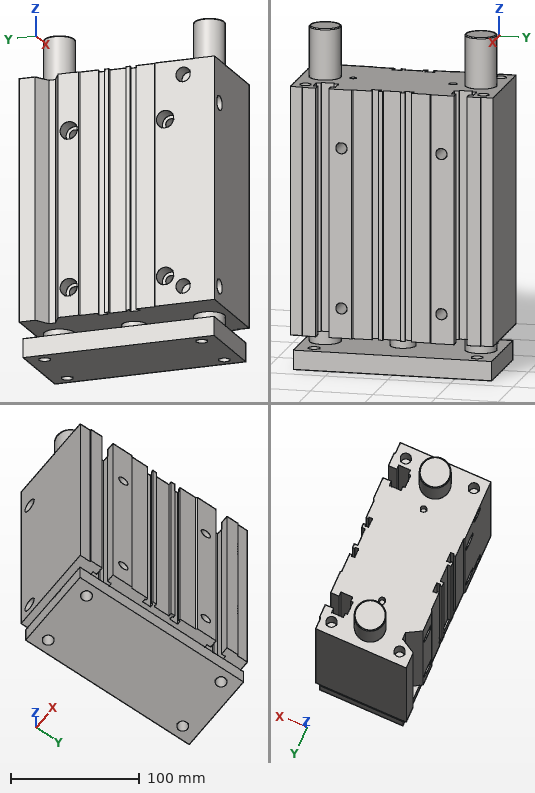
import cadquery as cq

total_height = 268.0
housing_bottom = 28.1
housing_height = 198.9
housing_top = housing_bottom + housing_height
housing_length = 162.0
housing_half_length = housing_length / 2
housing_width = 78.0
housing_half_width = housing_width / 2
relief_half_width = 38.0
relief_half_length = 30.8
corner_relief_y = 71.3

flat_groove_half_width = 35.0
flat_groove_width = 14.2
rail_slot_y = 13.0
rail_slot_throat = 5.0
rail_slot_width = 7.5
rail_slot_lip_x = 36.2
rail_slot_floor_x = 33.2

v_groove_y = 58.2
v_groove_floor_x = 27.0
v_groove_mouth = 19.0
v_groove_floor = 5.4

t_slot_y = 55.2
t_slot_throat = 10.5
t_slot_width = 17.7
t_slot_lip_x = 32.0
t_slot_floor_x = 22.0
t_slot_relief_x = 20.0

mount_y = 40.0
mount_levels = (52.0, 180.0)
mount_diameter = 8.8
mount_bore_diameter = 14.2
mount_bore_depth = 13.5

port_diameter = 11.8
port_depth = 13.5
side_port_y = -55.0
side_port_levels = (42.0, 215.0)
end_port_x = -28.0
end_port_levels = (42.0, 192.0)

corner_hole_x = 29.0
corner_hole_y = 71.0
corner_hole_diameter = 8.5
corner_hole_depth = 21.5

pin_y = 40.0
pin_diameter = 5.0
pin_slot_length = 6.2
pin_depth = 10.7

plate_width = 70.8
plate_length = 158.5
plate_thickness = 15.5
plate_hole_x = 25.0
plate_hole_y = 65.0
plate_hole_diameter = 9.0
guide_rod_y = 62.2
guide_rod_diameter = 25.0
guide_rod_chamfer = 0.8
piston_rod_diameter = 20.0

SIDES = (-1, 1)


def upright_block(x_a, x_b, y_center, y_size):
    """Block over the full housing height, between two X positions."""
    return (
        cq.Workplane("XY", origin=((x_a + x_b) / 2, y_center, housing_bottom))
        .rect(abs(x_b - x_a), y_size)
        .extrude(housing_height)
    )


def cylinder_along(start, direction, diameter, length):
    """Cylinder that starts at a point and runs along a direction."""
    return cq.Workplane(
        cq.Solid.makeCylinder(diameter / 2, length, cq.Vector(*start), cq.Vector(*direction))
    )


def guide_rod(y):
    rod_length = total_height - plate_thickness
    rod = cylinder_along((0, y, plate_thickness), (0, 0, 1), guide_rod_diameter, rod_length)
    return rod.faces(">Z").chamfer(guide_rod_chamfer)


def side_relief(side):
    """Shallow recess in one side face with sloping ends."""
    inner_x = side * relief_half_width
    outer_x = side * housing_half_width
    outer_y = relief_half_length + housing_half_width - relief_half_width
    return (
        cq.Workplane("XY", origin=(0, 0, housing_bottom))
        .polyline([
            (outer_x, -outer_y),
            (inner_x, -relief_half_length),
            (inner_x, relief_half_length),
            (outer_x, outer_y),
        ])
        .close()
        .extrude(housing_height)
    )


def housing_blank():
    blank = upright_block(-housing_half_width, housing_half_width, 0, housing_length)
    for side in SIDES:
        blank = blank.cut(side_relief(side))
        step_length = housing_half_length - corner_relief_y
        step_y = side * (corner_relief_y + step_length / 2)
        blank = blank.cut(upright_block(relief_half_width, housing_half_width, step_y, step_length))
    return blank


def cut_rail_slots(body):
    """Central shallow groove between two small undercut slots, on both side faces."""
    for side in SIDES:
        face_x = side * housing_half_width
        body = body.cut(upright_block(side * flat_groove_half_width, face_x, 0, flat_groove_width))
        for y in (-rail_slot_y, rail_slot_y):
            body = body.cut(upright_block(side * rail_slot_lip_x, face_x, y, rail_slot_throat))
            body = body.cut(
                upright_block(side * rail_slot_floor_x, side * rail_slot_lip_x, y, rail_slot_width)
            )
    return body


def cut_v_groove(body):
    groove = (
        cq.Workplane("XY", origin=(0, v_groove_y, housing_bottom))
        .polyline([
            (-housing_half_width, -v_groove_mouth / 2),
            (-v_groove_floor_x, -v_groove_floor / 2),
            (-v_groove_floor_x, v_groove_floor / 2),
            (-housing_half_width, v_groove_mouth / 2),
        ])
        .close()
        .extrude(housing_height)
    )
    return body.cut(groove)


def cut_t_slots(body):
    for y in (-t_slot_y, t_slot_y):
        body = body.cut(upright_block(t_slot_relief_x, housing_half_width, y, t_slot_throat))
        body = body.cut(upright_block(t_slot_floor_x, t_slot_lip_x, y, t_slot_width))
    return body


def cut_mount_holes(body):
    """Through holes along X, counterbored on the -X face."""
    for y in (-mount_y, mount_y):
        for z in mount_levels:
            start = (-housing_half_width, y, z)
            body = body.cut(cylinder_along(start, (1, 0, 0), mount_diameter, housing_width))
            body = body.cut(cylinder_along(start, (1, 0, 0), mount_bore_diameter, mount_bore_depth))
    return body


def cut_ports(body):
    for z in side_port_levels:
        start = (-housing_half_width, side_port_y, z)
        body = body.cut(cylinder_along(start, (1, 0, 0), port_diameter, port_depth))
    for z in end_port_levels:
        start = (end_port_x, -housing_half_length, z)
        body = body.cut(cylinder_along(start, (0, 1, 0), port_diameter, port_depth))
    return body


def cut_top_holes(body):
    """Corner holes, plus one round and one elongated locating hole."""
    for x in (-corner_hole_x, corner_hole_x):
        for y in (-corner_hole_y, corner_hole_y):
            start = (x, y, housing_top)
            body = body.cut(cylinder_along(start, (0, 0, -1), corner_hole_diameter, corner_hole_depth))
    body = body.cut(cylinder_along((0, -pin_y, housing_top), (0, 0, -1), pin_diameter, pin_depth))
    pin_slot = (
        cq.Workplane("XY", origin=(0, pin_y, housing_top))
        .slot2D(pin_slot_length, pin_diameter, 90)
        .extrude(-pin_depth)
    )
    return body.cut(pin_slot)


def make_housing():
    body = housing_blank()
    body = cut_rail_slots(body)
    body = cut_v_groove(body)
    body = cut_t_slots(body)
    body = cut_mount_holes(body)
    body = cut_ports(body)
    body = cut_top_holes(body)
    for y in (-guide_rod_y, guide_rod_y):
        bore_start = (0, y, housing_bottom)
        body = body.cut(cylinder_along(bore_start, (0, 0, 1), guide_rod_diameter, housing_height))
    return body


def make_carriage():
    """Plate carrying both guide rods and the piston rod, which ends at the housing."""
    body = (
        cq.Workplane("XY")
        .rect(plate_width, plate_length)
        .extrude(plate_thickness)
        .faces(">Z").workplane()
        .rect(2 * plate_hole_x, 2 * plate_hole_y, forConstruction=True)
        .vertices()
        .hole(plate_hole_diameter)
    )
    for y in (-guide_rod_y, guide_rod_y):
        body = body.union(guide_rod(y))
    piston_length = housing_bottom - plate_thickness
    return body.union(
        cylinder_along((0, 0, plate_thickness), (0, 0, 1), piston_rod_diameter, piston_length)
    )


housing = make_housing()
carriage = make_carriage()
result = cq.Compound.makeCompound([housing.val(), carriage.val()])